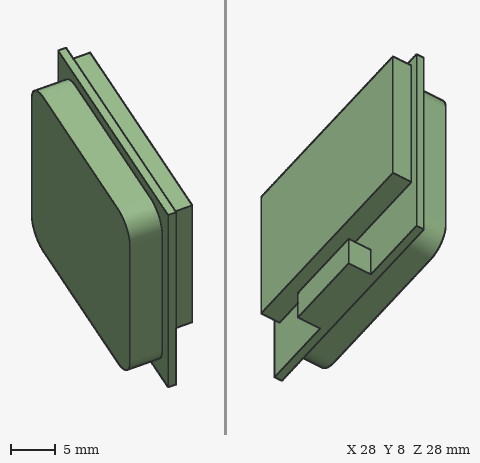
import cadquery as cq

board_side = 28.0
board_thickness = 1.0

antenna_side = 25.0
antenna_thickness = 4.0
antenna_corner_radius = 3.0

shield_margin = 1.0
shield_width = board_side - 2 * shield_margin
shield_height = 19.0
shield_thickness = 2.5

connector_width = 10.0
connector_height = 4.0
connector_thickness = 3.0

board_back = board_thickness
board_top = board_side / 2
board_bottom = -board_side / 2


def block(width, thickness, height, front_y, bottom_z):
    """Box centred in X, growing toward +Y and +Z from the given planes."""
    box = cq.Workplane("XY").box(width, thickness, height, centered=(True, False, False))
    return box.translate((0, front_y, bottom_z))


def make_board():
    return block(board_side, board_thickness, board_side, 0, board_bottom)


def make_antenna():
    antenna = block(antenna_side, antenna_thickness, antenna_side, -antenna_thickness, -antenna_side / 2)
    return antenna.edges("|Y").fillet(antenna_corner_radius)


def make_shield():
    shield_bottom = board_top - shield_margin - shield_height
    return block(shield_width, shield_thickness, shield_height, board_back, shield_bottom)


def make_connector():
    return block(connector_width, connector_thickness, connector_height, board_back, board_bottom)


result = make_board().union(make_antenna()).union(make_shield()).union(make_connector())